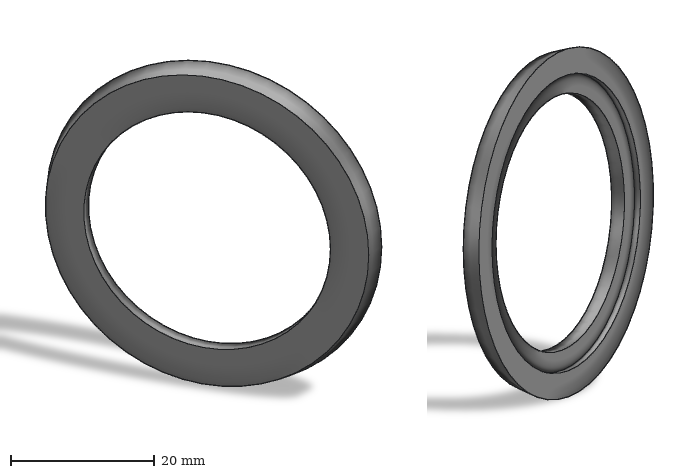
import cadquery as cq

rear_diameter = 49.5
front_diameter = 47.7
bore_diameter = 36.4
recess_diameter = 42.08
thickness = 3.0
bore_length = 2.1

front_y = -thickness / 2
rear_y = thickness / 2
step_y = front_y + bore_length

section = [
    (bore_diameter / 2, front_y),
    (front_diameter / 2, front_y),
    (rear_diameter / 2, rear_y),
    (recess_diameter / 2, rear_y),
    (recess_diameter / 2, step_y),
    (bore_diameter / 2, step_y),
]

result = cq.Workplane("XY").polyline(section).close().revolve(360, (0, 0), (0, 1))